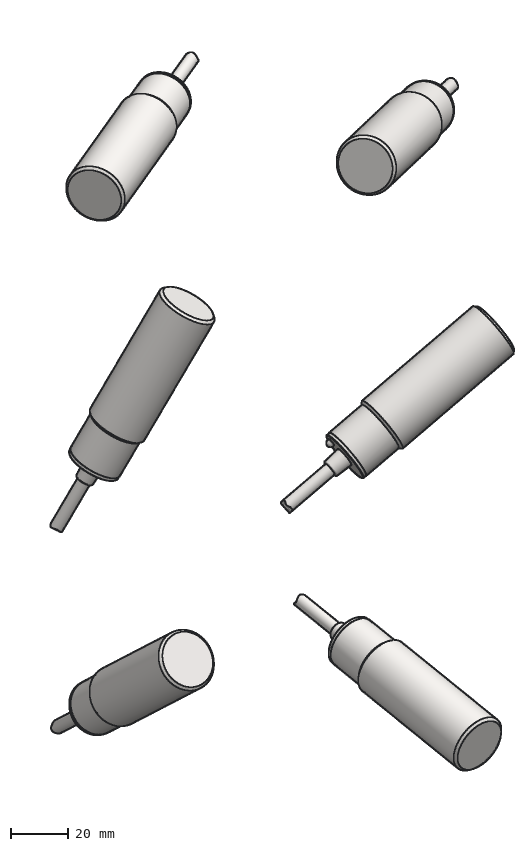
import cadquery as cq

body_diameter = 22.0
body_chamfer = 1.0
body_length = 53.5

sleeve_diameter = 20.0
sleeve_end = 68.6
cap_diameter = 19.8
cap_end = 70.0
cap_chamfer = 0.2

boot_base_diameter = 7.4
boot_tip_diameter = 6.7
boot_end = 76.7
boot_fillet = 0.3

cable_diameter = 5.0
overall_length = 97.57
cable_wave = 0.65

lamp_diameter = 3.0
lamp_offset = 7.0
lamp_height = 2.0


def rod(diameter, start, end, x=0.0):
    """Cylinder parallel to Y between two Y positions."""
    plane = cq.Plane(origin=(x, start, 0), xDir=(1, 0, 0), normal=(0, 1, 0))
    return cq.Workplane(plane).circle(diameter / 2).extrude(end - start)


def make_housing():
    """Chamfered barrel, narrower sleeve and end cap."""
    barrel = rod(body_diameter, 0, body_length).edges().chamfer(body_chamfer)
    sleeve = rod(sleeve_diameter, 0, sleeve_end)
    cap = rod(cap_diameter, 0, cap_end).faces(">Y").edges().chamfer(cap_chamfer)
    return barrel.union(sleeve).union(cap)


def make_boot():
    """Tapered strain relief with a rounded tip."""
    profile = [
        (0, cap_end),
        (boot_base_diameter / 2, cap_end),
        (boot_tip_diameter / 2, boot_end),
        (0, boot_end),
    ]
    boot = cq.Workplane("XY").polyline(profile).close().revolve(360, (0, 0, 0), (0, 1, 0))
    return boot.faces(">Y").edges().fillet(boot_fillet)


def make_cable():
    """Round cable whose end is cut along an S-shaped curve in the YZ plane."""
    radius = cable_diameter / 2
    mean_end = overall_length - cable_wave
    outline = (
        cq.Workplane("YZ")
        .moveTo(cap_end, -radius)
        .lineTo(mean_end, -radius)
        .threePointArc((overall_length, -radius / 2), (mean_end, 0))
        .threePointArc((mean_end - cable_wave, radius / 2), (mean_end, radius))
        .lineTo(cap_end, radius)
        .close()
    )
    side_silhouette = outline.extrude(radius, both=True)
    return rod(cable_diameter, cap_end, overall_length).intersect(side_silhouette)


def make_lamp():
    """Indicator lamp: a short cylinder with a domed end."""
    radius = lamp_diameter / 2
    dome_center = cap_end + lamp_height - radius
    dome = cq.Workplane("XY").sphere(radius).translate((lamp_offset, dome_center, 0))
    return rod(lamp_diameter, cap_end - radius, dome_center, lamp_offset).union(dome)


result = make_housing().union(make_boot()).union(make_cable()).union(make_lamp())